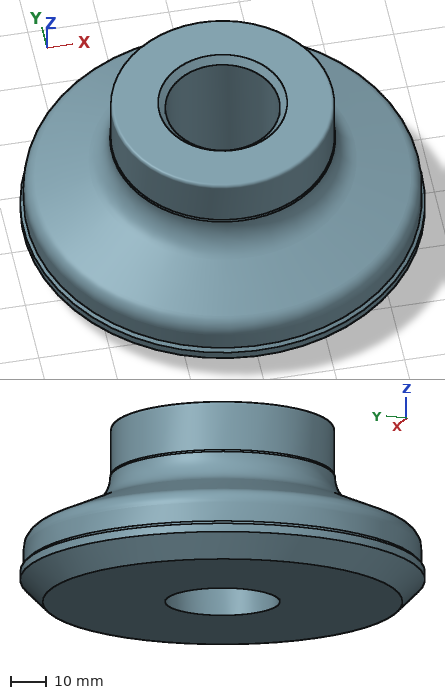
import cadquery as cq
import math

total_height = 50.0
pad_height = 9.6

bore_radius = 32.0 / 2
bore_chamfer = 2.0

collar_radius = 62.39 / 2
collar_edge_radius = 1.0
neck_radius = 62.89 / 2
neck_top = 36.0
neck_blend_top = 35.4
neck_blend_radius = 10.0
skirt_radius = 111.0 / 2
shoulder_bottom = 15.0
shoulder_radius = 5.0

pad_radius = 112.88 / 2
pad_top_chamfer = pad_radius - skirt_radius
pad_bottom_chamfer = 6.3

shoulder_center = (skirt_radius - shoulder_radius, shoulder_bottom)
blend_center = (neck_radius + neck_blend_radius, neck_blend_top)
center_run = shoulder_center[0] - blend_center[0]
center_rise = blend_center[1] - shoulder_center[1]
center_distance = math.hypot(center_run, center_rise)
center_angle = math.atan2(center_rise, -center_run)
cone_normal = center_angle - math.acos((shoulder_radius + neck_blend_radius) / center_distance)


def arc_point(center, radius, angle):
    """Point on an arc in the radius-height plane."""
    return (center[0] + radius * math.cos(angle), center[1] + radius * math.sin(angle))


def make_hub():
    """Collar, concave neck, cone and rounded skirt turned as one solid."""
    cone_bottom = arc_point(shoulder_center, shoulder_radius, cone_normal)
    cone_top = arc_point(blend_center, neck_blend_radius, cone_normal + math.pi)
    shoulder_middle = arc_point(shoulder_center, shoulder_radius, cone_normal / 2)
    blend_middle = arc_point(blend_center, neck_blend_radius, cone_normal / 2 + math.pi)
    edge_center = (collar_radius - collar_edge_radius, total_height - collar_edge_radius)
    edge_middle = arc_point(edge_center, collar_edge_radius, math.pi / 4)
    profile = (
        cq.Workplane("XZ")
        .moveTo(bore_radius, pad_height)
        .lineTo(skirt_radius, pad_height)
        .lineTo(skirt_radius, shoulder_bottom)
        .threePointArc(shoulder_middle, cone_bottom)
        .lineTo(*cone_top)
        .threePointArc(blend_middle, (neck_radius, neck_blend_top))
        .lineTo(collar_radius, neck_top)
        .lineTo(collar_radius, edge_center[1])
        .threePointArc(edge_middle, (edge_center[0], total_height))
        .lineTo(bore_radius + bore_chamfer, total_height)
        .lineTo(bore_radius, total_height - bore_chamfer)
        .close()
    )
    return profile.revolve(360, (0, 0, 0), (0, 1, 0))


def make_pad():
    """Disc under the hub with a bevelled rim that stands out past the skirt."""
    profile = (
        cq.Workplane("XZ")
        .moveTo(bore_radius, 0)
        .lineTo(pad_radius - pad_bottom_chamfer, 0)
        .lineTo(pad_radius, pad_bottom_chamfer)
        .lineTo(pad_radius, pad_height - pad_top_chamfer)
        .lineTo(pad_radius - pad_top_chamfer, pad_height)
        .lineTo(bore_radius, pad_height)
        .close()
    )
    return profile.revolve(360, (0, 0, 0), (0, 1, 0))


hub = make_hub()
pad = make_pad()

result = cq.Compound.makeCompound([hub.val(), pad.val()])